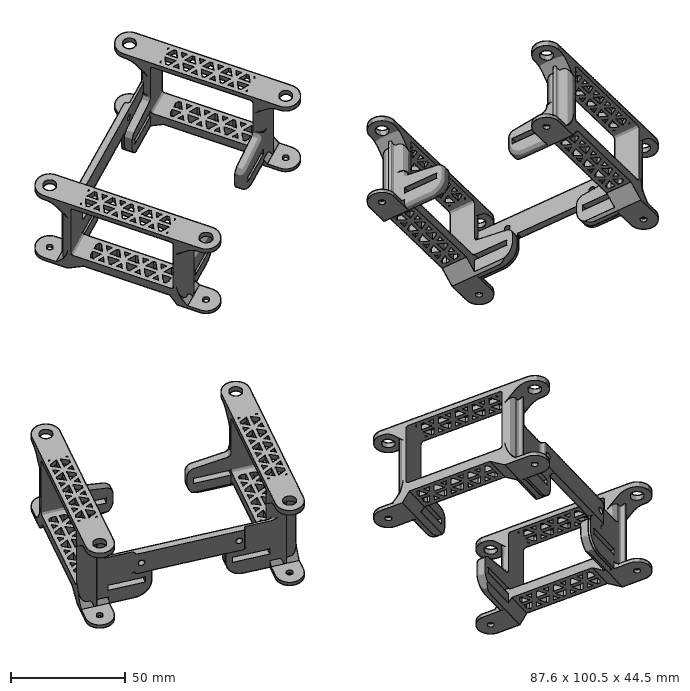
import cadquery as cq
import math

LENGTH_X = 87.6
LENGTH_Y = 100.5
HEIGHT = 44.5

FRAME_DEPTH = 13.0
FRAME_Y = (LENGTH_Y - FRAME_DEPTH) / 2
FRAME_INNER_Y = LENGTH_Y / 2 - FRAME_DEPTH
END_RADIUS = FRAME_DEPTH / 2
HALF_X = LENGTH_X / 2
TOP_THICKNESS = 2.7
FOOT_THICKNESS = 1.9
TOP_PLATE_Z = HEIGHT - TOP_THICKNESS

WINDOW_HALF_X = 24.4
WINDOW_BOTTOM_Z = 10.1
WINDOW_RADIUS = 1.3

WALL_HALF_X = 25.9
POST_HALF_X = 29.5
POST_ROUND = POST_HALF_X - WALL_HALF_X
RIB_HALF_X = 31.4
RIB_TIP_HALF_WIDTH = 0.8
RIB_TIP_ROUND = 0.5
RIB_FLARE = 1.3
FLARE_START_Z = 34.7
FLARE_KNEE_Z = 39.8
FLARE_ARC_MID = (33.7, 41.2)
FLARE_END_X = 36.2
FOOT_CHAMFER = 1.0
FOOT_FLARE_MID = (27.7, 6.4)
FOOT_FLARE_TOP_Z = 12.3

BAR_BOTTOM_Z = 5.0
BAR_LEFT_X = -18.3
BAR_RIGHT_X = 22.7
LEFT_FOOT_X = -25.9
RIGHT_FOOT_X = 26.3

SCREW_X = HALF_X - END_RADIUS
FOOT_HOLE_DIAMETER = 3.0
TOP_HOLE_DIAMETER = 6.0

GRID_PITCH = 8.6
TRIANGLE_SIDE = 5.2
TRIANGLE_HEIGHT = TRIANGLE_SIDE * math.sin(math.radians(60))
GRID_RIB_HALF = 0.9
GRID_HALF_Y = 4.4
GRID_COLUMNS = 5
SMALL_APEX_Y = 2.1
TOP_GRID_HALF_X = 20.7
BAR_GRID_X = (BAR_LEFT_X + BAR_RIGHT_X) / 2
BAR_GRID_HALF_X = 18.7

ARM_END_Y = 17.1
ARM_ROOT_Y = FRAME_INNER_Y + POST_ROUND
ARM_END_TOP_Z = 16.3
ARM_ROOT_TOP_Z = 19.1
ARM_LOWER_RADIUS = 8.2
ARM_UPPER_RADIUS = 3.8
ARM_ROOT_RADIUS = 2.2
ARM_EDGE_ROUND = 2.2
ARM_LEDGE_Z = 21.6
SLOT_START_Y = 20.1
SLOT_END_Y = FRAME_INNER_Y
SLOT_BOTTOM_Z = 7.8
SLOT_HEIGHT = 3.0

PLATE_THICKNESS = 1.2
PLATE_INNER_X = POST_HALF_X - PLATE_THICKNESS
PLATE_TOP_Z = 27.4
PLATE_ROOT_FILLET = 1.1
BLOCK_BOTTOM_Z = 15.9
BLOCK_OUTER_X = 31.5
BLOCK_HALF_Y = 25.3
BLOCK_FILLET = 1.1
BLOCK_EDGE_ROUND = 0.9
PLATE_HOLE_Y = 22.5
PLATE_HOLE_Z = 21.6
PLATE_HOLE_DIAMETER = 3.0


def box(x_range, y_range, z_range):
    """Axis-aligned block given by its limits on each axis."""
    size = [high - low for low, high in (x_range, y_range, z_range)]
    corner = (x_range[0], y_range[0], z_range[0])
    return cq.Workplane("XY").box(*size, centered=False).translate(corner)


def frame_blank():
    """Outer body of the +Y frame: top plate, feet and the flares joining them to the walls."""
    outline = (
        cq.Workplane("XZ", origin=(0, LENGTH_Y / 2, 0))
        .moveTo(-HALF_X, 0)
        .lineTo(HALF_X, 0)
        .lineTo(HALF_X, FOOT_THICKNESS)
        .lineTo(RIB_HALF_X, FOOT_THICKNESS)
        .lineTo(RIB_HALF_X - FOOT_CHAMFER, FOOT_THICKNESS + FOOT_CHAMFER)
        .threePointArc(FOOT_FLARE_MID, (WALL_HALF_X, FOOT_FLARE_TOP_Z))
        .lineTo(WALL_HALF_X, FLARE_START_Z)
        .lineTo(RIB_HALF_X, FLARE_KNEE_Z)
        .threePointArc(FLARE_ARC_MID, (FLARE_END_X, TOP_PLATE_Z))
        .lineTo(HALF_X, TOP_PLATE_Z)
        .lineTo(HALF_X, HEIGHT)
        .lineTo(-HALF_X, HEIGHT)
        .lineTo(-HALF_X, TOP_PLATE_Z)
        .lineTo(-FLARE_END_X, TOP_PLATE_Z)
        .threePointArc((-FLARE_ARC_MID[0], FLARE_ARC_MID[1]), (-RIB_HALF_X, FLARE_KNEE_Z))
        .lineTo(-WALL_HALF_X, FLARE_START_Z)
        .lineTo(-WALL_HALF_X, FOOT_FLARE_TOP_Z)
        .threePointArc(
            (-FOOT_FLARE_MID[0], FOOT_FLARE_MID[1]),
            (-RIB_HALF_X + FOOT_CHAMFER, FOOT_THICKNESS + FOOT_CHAMFER),
        )
        .lineTo(-RIB_HALF_X, FOOT_THICKNESS)
        .lineTo(-HALF_X, FOOT_THICKNESS)
        .close()
        .extrude(FRAME_DEPTH)
    )
    rounded_ends = (
        cq.Workplane("XY", origin=(0, FRAME_Y, 0))
        .slot2D(LENGTH_X, FRAME_DEPTH)
        .extrude(HEIGHT)
    )
    return outline.intersect(rounded_ends)


def underside():
    """Sloped-sided channel along Y that raises the underside between the feet."""
    corners = [
        (LEFT_FOOT_X, 0),
        (BAR_LEFT_X, BAR_BOTTOM_Z),
        (BAR_RIGHT_X, BAR_BOTTOM_Z),
        (RIGHT_FOOT_X, 0),
    ]
    return cq.Workplane("XZ").polyline(corners).close().extrude(LENGTH_Y / 2, both=True)


def post():
    """+X post of the +Y frame: wall with rounded outer edges and a flared central rib."""
    wall = box(
        (WINDOW_HALF_X, POST_HALF_X),
        (FRAME_INNER_Y, LENGTH_Y / 2),
        (FOOT_THICKNESS, TOP_PLATE_Z),
    ).edges("|Z and >X").fillet(POST_ROUND)
    tip = RIB_TIP_HALF_WIDTH
    base = tip + RIB_FLARE
    neck_x = POST_HALF_X + RIB_FLARE
    arc_inset = RIB_FLARE * (1 - math.sqrt(0.5))
    rib = (
        cq.Workplane("XY", origin=(0, FRAME_Y, FOOT_THICKNESS / 2))
        .moveTo(WALL_HALF_X, -base)
        .lineTo(POST_HALF_X, -base)
        .threePointArc((POST_HALF_X + arc_inset, -tip - arc_inset), (neck_x, -tip))
        .lineTo(RIB_HALF_X, -tip)
        .lineTo(RIB_HALF_X, tip)
        .lineTo(neck_x, tip)
        .threePointArc((POST_HALF_X + arc_inset, tip + arc_inset), (POST_HALF_X, base))
        .lineTo(WALL_HALF_X, base)
        .close()
        .extrude(TOP_PLATE_Z - FOOT_THICKNESS / 2)
    ).edges("|Z and >X").fillet(RIB_TIP_ROUND)
    return wall.union(rib)


def window():
    """Rounded rectangular opening through the +Y frame."""
    return box(
        (-WINDOW_HALF_X, WINDOW_HALF_X),
        (FRAME_INNER_Y, LENGTH_Y / 2),
        (WINDOW_BOTTOM_Z, TOP_PLATE_Z),
    ).edges("|Y").fillet(WINDOW_RADIUS)


def triangle_grid(center_x, half_x, bottom_z, top_z):
    """Two mirrored rows of alternating triangles, trimmed to a rectangle."""
    height = top_z - bottom_z
    half_side = TRIANGLE_SIDE / 2
    small_base = SMALL_APEX_Y + TRIANGLE_HEIGHT
    origin = (center_x, FRAME_Y, bottom_z)
    grid = cq.Workplane("XY")
    for row in (-1, 1):
        for step in range(-GRID_COLUMNS, GRID_COLUMNS + 1):
            x = step * GRID_PITCH / 2
            points_outward = step % 2 == 0
            base_y = GRID_RIB_HALF if points_outward else small_base
            apex_y = GRID_RIB_HALF + TRIANGLE_HEIGHT if points_outward else SMALL_APEX_Y
            corners = [(x - half_side, row * base_y), (x + half_side, row * base_y), (x, row * apex_y)]
            grid = grid.add(cq.Workplane("XY", origin=origin).polyline(corners).close().extrude(height))
    limits = box(
        (center_x - half_x, center_x + half_x),
        (FRAME_Y - GRID_HALF_Y, FRAME_Y + GRID_HALF_Y),
        (bottom_z, top_z),
    )
    return limits.intersect(grid.combine())


def screw_hole(x, diameter, bottom_z, top_z):
    """Vertical bore on the centre line of the +Y frame."""
    return (
        cq.Workplane("XY", origin=(x, FRAME_Y, bottom_z))
        .circle(diameter / 2)
        .extrude(top_z - bottom_z)
    )


def frame():
    """Complete +Y frame."""
    body = frame_blank().union(post()).union(post().mirror("YZ")).cut(window())
    body = body.cut(triangle_grid(0, TOP_GRID_HALF_X, TOP_PLATE_Z, HEIGHT))
    body = body.cut(triangle_grid(BAR_GRID_X, BAR_GRID_HALF_X, BAR_BOTTOM_Z, WINDOW_BOTTOM_Z))
    for x in (-SCREW_X, SCREW_X):
        body = body.cut(screw_hole(x, FOOT_HOLE_DIAMETER, 0, FOOT_THICKNESS))
        body = body.cut(screw_hole(x, TOP_HOLE_DIAMETER, FLARE_KNEE_Z, HEIGHT))
    return body


def arm_profile(inner_x, outer_x):
    """Side shape of the +Y arm, from its rounded tip to its root in the post."""
    blank = (
        cq.Workplane("YZ", origin=(inner_x, 0, 0))
        .moveTo(ARM_END_Y, 0)
        .lineTo(ARM_ROOT_Y, 0)
        .lineTo(ARM_ROOT_Y, ARM_LEDGE_Z)
        .lineTo(FRAME_INNER_Y, ARM_LEDGE_Z)
        .lineTo(FRAME_INNER_Y, ARM_ROOT_TOP_Z)
        .lineTo(ARM_END_Y, ARM_END_TOP_Z)
        .close()
        .extrude(outer_x - inner_x)
    )

    def corner(y, z):
        return cq.selectors.NearestToPointSelector(((inner_x + outer_x) / 2, y, z))

    blank = blank.edges(corner(ARM_END_Y, 0)).fillet(ARM_LOWER_RADIUS)
    blank = blank.edges(corner(ARM_END_Y, ARM_END_TOP_Z)).fillet(ARM_UPPER_RADIUS)
    return blank.edges(corner(FRAME_INNER_Y, ARM_ROOT_TOP_Z)).fillet(ARM_ROOT_RADIUS)


def arm():
    """+X arm of the +Y frame, rounded along the outer edge of its top and tip."""
    tip_edge = cq.selectors.NearestToPointSelector(
        (POST_HALF_X, ARM_END_Y, (ARM_LOWER_RADIUS + ARM_END_TOP_Z - ARM_UPPER_RADIUS) / 2)
    )
    return arm_profile(WINDOW_HALF_X, POST_HALF_X).edges(tip_edge).fillet(ARM_EDGE_ROUND)


def slot():
    """Long slot through the arms on both sides of the +Y frame."""
    return box(
        (-POST_HALF_X, POST_HALF_X),
        (SLOT_START_Y, SLOT_END_Y),
        (SLOT_BOTTOM_Z, SLOT_BOTTOM_Z + SLOT_HEIGHT),
    )


def block_skirt():
    """Concave fillet where the middle block meets the arms, mitred at its lower corners."""
    skirt_x = -POST_HALF_X - BLOCK_FILLET
    skirt_y = BLOCK_HALF_Y + BLOCK_FILLET
    skirt_z = BLOCK_BOTTOM_Z - BLOCK_FILLET
    skirt = box((skirt_x, -PLATE_INNER_X), (-skirt_y, skirt_y), (skirt_z, PLATE_TOP_Z))
    for y in (-skirt_y, skirt_y):
        side_cove = cq.Workplane("XY", origin=(skirt_x, y, 0)).circle(BLOCK_FILLET).extrude(HEIGHT)
        skirt = skirt.cut(side_cove)
    bottom_cove = (
        cq.Workplane("XZ", origin=(skirt_x, 0, skirt_z))
        .circle(BLOCK_FILLET)
        .extrude(skirt_y, both=True)
    )
    gap_between_arms = box(
        (skirt_x, -PLATE_INNER_X),
        (-ARM_END_Y, ARM_END_Y),
        (skirt_z, BLOCK_BOTTOM_Z),
    )
    return skirt.cut(bottom_cove).cut(gap_between_arms)


def plate_root_fillet():
    """Concave fillet between the plate's top edge and the rounded edge of the +Y, -X post."""
    axis = (-WALL_HALF_X, FRAME_INNER_Y + POST_ROUND)
    outer = POST_ROUND + PLATE_ROOT_FILLET
    inset = PLATE_ROOT_FILLET * (1 - math.sqrt(0.5))
    ring = (
        cq.Workplane("XZ", origin=(*axis, PLATE_TOP_Z))
        .moveTo(POST_ROUND / 2, 0)
        .lineTo(outer, 0)
        .threePointArc((POST_ROUND + inset, inset), (POST_ROUND, PLATE_ROOT_FILLET))
        .lineTo(POST_ROUND / 2, PLATE_ROOT_FILLET)
        .close()
        .revolve(360, (0, 0), (0, 1))
    )
    limits = box(
        (-POST_HALF_X, -PLATE_INNER_X),
        (axis[1] - outer, axis[1]),
        (PLATE_TOP_Z, PLATE_TOP_Z + PLATE_ROOT_FILLET),
    )
    return ring.intersect(limits)


def cross_plate():
    """Plate joining the -X arms, with a thicker middle block."""
    plate = box(
        (-POST_HALF_X, -PLATE_INNER_X),
        (-ARM_ROOT_Y, ARM_ROOT_Y),
        (BLOCK_BOTTOM_Z, PLATE_TOP_Z),
    )
    skin = arm_profile(PLATE_INNER_X, POST_HALF_X).mirror("YZ")
    plate = plate.union(skin).union(skin.mirror("XZ"))
    block = box(
        (-BLOCK_OUTER_X, -PLATE_INNER_X),
        (-BLOCK_HALF_Y, BLOCK_HALF_Y),
        (BLOCK_BOTTOM_Z, PLATE_TOP_Z),
    ).edges("<X and |Z").fillet(BLOCK_EDGE_ROUND)
    plate = plate.union(block).union(block_skirt())
    return plate.union(plate_root_fillet()).union(plate_root_fillet().mirror("XZ"))


def plate_holes():
    """Two holes through the middle block of the cross plate."""
    return (
        cq.Workplane("YZ", origin=(-BLOCK_OUTER_X, 0, 0))
        .pushPoints([(-PLATE_HOLE_Y, PLATE_HOLE_Z), (PLATE_HOLE_Y, PLATE_HOLE_Z)])
        .circle(PLATE_HOLE_DIAMETER / 2)
        .extrude(BLOCK_OUTER_X - PLATE_INNER_X)
    )


end_unit = frame().union(arm()).union(arm().mirror("YZ"))
result = end_unit.union(end_unit.mirror("XZ")).union(cross_plate())
result = result.cut(underside()).cut(plate_holes()).cut(slot()).cut(slot().mirror("XZ"))